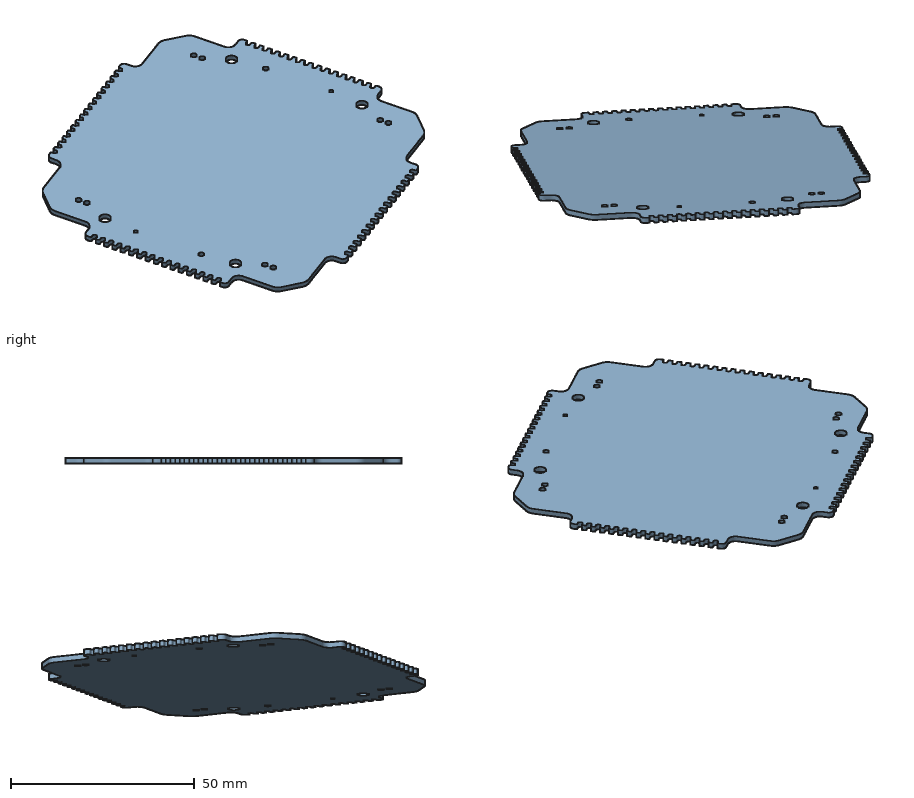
import cadquery as cq
import math

SPAN = 91.5
THICKNESS = 1.6
TAB_WIDTH = 43.9
TAB_LENGTH = 5.0
BODY_WIDTH = SPAN - 2 * TAB_LENGTH
CORNER_CHAMFER = 6.0
CHAMFER_BLEND_RADIUS = 3.1
TAB_ROOT_RADIUS = 2.2
TAB_TIP_RADIUS = 1.3

NOTCH_COUNT = 16
NOTCH_ROW_LENGTH = 38.2
NOTCH_PITCH = NOTCH_ROW_LENGTH / (NOTCH_COUNT - 1)
NOTCH_WIDTH = 1.3
NOTCH_MOUTH_RADIUS = 0.3
NOTCH_STRAIGHT_DEPTH = 0.87

MOUNT_DIAMETER = 3.2
MOUNT_X = 20.0
MOUNT_Y = 37.0
PAIR_DIAMETER = 1.65
PAIR_SPACING = 2.6
PAIR_INNER_X = 27.4
PAIR_OUTER_X = PAIR_INNER_X + PAIR_SPACING
PAIR_Y = 33.7
LOCATING_X = 10.1
LOCATING_Y = 38.0
LOCATING_LARGE_DIAMETER = 1.6
LOCATING_SMALL_DIAMETER = 1.1

SELECTION_MARGIN = 0.1


def mirrored(x, y):
    """The four points (+-x, +-y)."""
    return [(side_x * x, side_y * y) for side_x in (-1, 1) for side_y in (-1, 1)]


def slab(width, height):
    return cq.Workplane("XY").rect(width, height).extrude(THICKNESS)


def vertical_edge_at(x, y):
    low = (x - SELECTION_MARGIN, y - SELECTION_MARGIN, 0)
    high = (x + SELECTION_MARGIN, y + SELECTION_MARGIN, THICKNESS)
    return cq.selectors.BoxSelector(low, high)


def make_plate():
    """Square body with blended corner chamfers and a tab in the middle of each side."""
    body = slab(BODY_WIDTH, BODY_WIDTH)
    body = body.edges("|Z").chamfer(CORNER_CHAMFER)
    body = body.edges("|Z").fillet(CHAMFER_BLEND_RADIUS)

    tabs_x = slab(SPAN, TAB_WIDTH).edges("|Z").fillet(TAB_TIP_RADIUS)
    tabs_y = slab(TAB_WIDTH, SPAN).edges("|Z").fillet(TAB_TIP_RADIUS)
    plate = body.union(tabs_x).union(tabs_y)

    side = BODY_WIDTH / 2
    tab_edge = TAB_WIDTH / 2
    for x, y in mirrored(side, tab_edge) + mirrored(tab_edge, side):
        plate = plate.edges(vertical_edge_at(x, y)).fillet(TAB_ROOT_RADIUS)
    return plate


def make_notch():
    """Cutter for one notch: open at y = 0, reaching down -Y, with rounded mouth corners."""
    half_width = NOTCH_WIDTH / 2
    mouth_half_width = half_width + NOTCH_MOUTH_RADIUS
    arc_offset = NOTCH_MOUTH_RADIUS * math.sqrt(0.5)
    mouth_mid_x = mouth_half_width - arc_offset
    mouth_mid_y = arc_offset - NOTCH_MOUTH_RADIUS
    bottom = (0, -NOTCH_STRAIGHT_DEPTH - half_width)
    return (
        cq.Workplane("XY")
        .moveTo(-mouth_half_width, 0)
        .threePointArc((-mouth_mid_x, mouth_mid_y), (-half_width, -NOTCH_MOUTH_RADIUS))
        .lineTo(-half_width, -NOTCH_STRAIGHT_DEPTH)
        .threePointArc(bottom, (half_width, -NOTCH_STRAIGHT_DEPTH))
        .lineTo(half_width, -NOTCH_MOUTH_RADIUS)
        .threePointArc((mouth_mid_x, mouth_mid_y), (mouth_half_width, 0))
        .close()
        .extrude(THICKNESS)
    )


def cut_notches(plate):
    """Cut the same row of notches into the tab on each of the four sides."""
    notch = make_notch().val()
    row = (
        cq.Workplane("XY")
        .center(0, SPAN / 2)
        .rarray(NOTCH_PITCH, 0.9, NOTCH_COUNT, 1)
        .eachpoint(lambda location: notch.moved(location), combine=True)
    )
    for angle in (0, 90, 180, 270):
        plate = plate.cut(row.rotate((0, 0, 0), (0, 0, 1), angle))
    return plate


def cut_holes(plate, points, diameter):
    pins = cq.Workplane("XY").pushPoints(points).circle(diameter / 2).extrude(THICKNESS)
    return plate.cut(pins)


mount_points = mirrored(MOUNT_X, MOUNT_Y)
pair_points = mirrored(PAIR_INNER_X, PAIR_Y) + mirrored(PAIR_OUTER_X, PAIR_Y)

large_locating_points = [(-LOCATING_X, LOCATING_Y), (LOCATING_X, -LOCATING_Y)]
small_locating_points = [(LOCATING_X, LOCATING_Y), (-LOCATING_X, -LOCATING_Y)]

result = cut_notches(make_plate())
result = cut_holes(result, mount_points, MOUNT_DIAMETER)
result = cut_holes(result, pair_points, PAIR_DIAMETER)
result = cut_holes(result, large_locating_points, LOCATING_LARGE_DIAMETER)
result = cut_holes(result, small_locating_points, LOCATING_SMALL_DIAMETER)